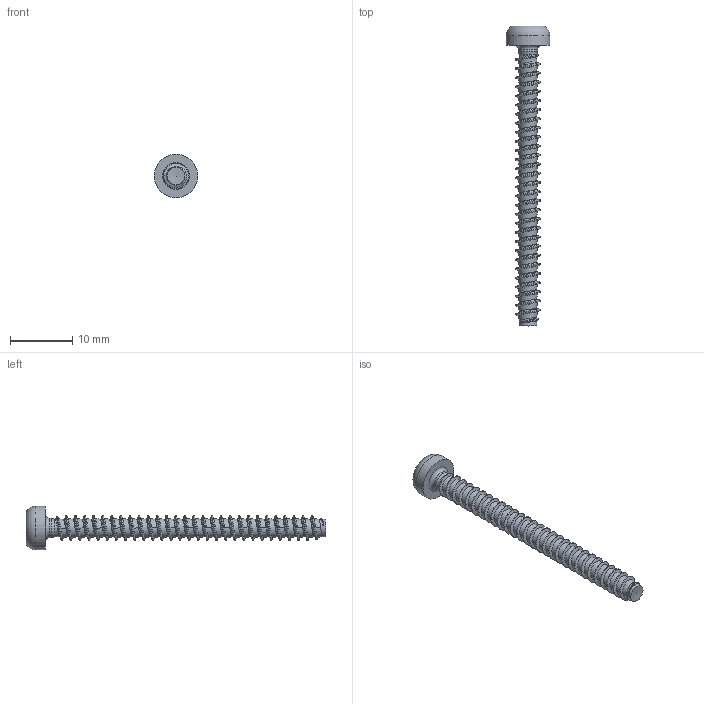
import cadquery as cq
import math


total_length = 48.09

head_height = 3.1
head_radius = 3.5
head_rim_height = 1.6
head_top_radius = 2.56

shank_length = total_length - head_height
core_radius = 1.41
neck_radius = 1.55
neck_end = 0.97
neck_taper_length = 0.5
underhead_fillet = 0.6
tip_dish_depth = 0.1

thread_pitch = 1.46
thread_radius = 2.0
thread_start = 0.8
thread_start_angle = 180
full_stages = 14
turns_per_full_stage = 2
fade_turns = 1

root_overlap = 0.15
valley_overlap = 0.008
faded_ridge_overlap = 0.03
faded_slope_overlap = 0.1

crest_half_width = 0.05
head_side_foot = (-0.17, 1.5)
tip_side_foot = (0.2, 1.54)
head_side_valley = -0.36
valley_gap = 0.02
tip_side_valley = head_side_valley + thread_pitch - valley_gap
valley_radius = core_radius - valley_overlap
buried_radius = core_radius - root_overlap
thread_section = [
    (head_side_valley, buried_radius),
    (head_side_valley, valley_radius),
    head_side_foot,
    (-crest_half_width, thread_radius),
    (crest_half_width, thread_radius),
    tip_side_foot,
    (tip_side_valley, valley_radius),
    (tip_side_valley, buried_radius),
]


def make_body():
    """Head, underhead fillet, neck and core, revolved about the Y axis."""
    crown_height = head_height - head_rim_height
    crown_inset = head_radius - head_top_radius
    crown_radius = (crown_height**2 + crown_inset**2) / (2 * crown_inset)
    half_sweep = math.asin(crown_height / crown_radius) / 2
    crown_middle = (
        head_radius - crown_radius * (1 - math.cos(half_sweep)),
        head_rim_height + crown_radius * math.sin(half_sweep),
    )
    fillet_reach = underhead_fillet * (1 - math.sqrt(0.5))
    fillet_middle = (neck_radius + fillet_reach, -fillet_reach)

    outline = (
        cq.Workplane("XY")
        .moveTo(0, head_height)
        .lineTo(head_top_radius, head_height)
        .threePointArc(crown_middle, (head_radius, head_rim_height))
        .lineTo(head_radius, 0)
        .lineTo(neck_radius + underhead_fillet, 0)
        .threePointArc(fillet_middle, (neck_radius, -underhead_fillet))
        .lineTo(neck_radius, -neck_end)
        .lineTo(core_radius, -neck_end - neck_taper_length)
        .lineTo(core_radius, -shank_length)
        .lineTo(0, -shank_length)
        .close()
    )
    return outline.revolve(360, (0, 0, 0), (0, 1, 0))


def faded(section):
    """Thread section sunk below the core surface, its tip-side slope deepest."""
    sunk = []
    for offset, radius in section:
        on_tip_side_slope = offset > crest_half_width
        overlap = faded_slope_overlap if on_tip_side_slope else faded_ridge_overlap
        sunk.append((offset, min(radius, core_radius - overlap)))
    return sunk


def helix(start_radius, end_radius, start_height, turns):
    """Helix about Z whose radius changes evenly from start to end."""
    rise = turns * thread_pitch
    cone_angle = math.atan2(end_radius - start_radius, rise)
    base = cq.Vector(0, 0, start_height)
    if cone_angle == 0:
        return cq.Wire.makeHelix(thread_pitch, rise, start_radius, base)
    slant = 1 / math.cos(cone_angle)
    axis = cq.Vector(0, 0, 1)
    return cq.Wire.makeHelix(
        thread_pitch * slant, rise * slant, start_radius, base, axis, math.degrees(cone_angle)
    )


def thread_sides(start_section, end_section, start_height, turns):
    """Helical faces joining two thread sections of equal point count."""
    curves = []
    for (offset, start_radius), (_, end_radius) in zip(start_section, end_section):
        curves.append(helix(start_radius, end_radius, start_height + offset, turns))
    faces = []
    for curve, next_curve in zip(curves, curves[1:] + curves[:1]):
        faces.append(cq.Face.makeRuledSurface(curve, next_curve))
    return faces


def thread_cap(section, height):
    """Flat end face of the thread in the plane through the axis."""
    points = [cq.Vector(radius, 0, height + offset) for offset, radius in section]
    return cq.Face.makeFromWires(cq.Wire.makePolygon(points, close=True))


def make_thread():
    """Thread that rises over its first turn, runs full and fades over its last turn."""
    ends = faded(thread_section)
    stages = [(ends, thread_section, fade_turns)]
    for _ in range(full_stages):
        stages.append((thread_section, thread_section, turns_per_full_stage))
    stages.append((thread_section, ends, fade_turns))

    height = thread_start
    faces = [thread_cap(ends, height)]
    for start_section, end_section, turns in stages:
        faces += thread_sides(start_section, end_section, height, turns)
        height += turns * thread_pitch
    faces.append(thread_cap(ends, height))
    solid = cq.Solid.makeSolid(cq.Shell.makeShell(faces)).fix()
    thread = cq.Workplane(solid)

    envelope = cq.Workplane("XY").circle(head_radius).extrude(shank_length)
    thread = thread.intersect(envelope)

    thread = thread.rotate((0, 0, 0), (0, 0, 1), thread_start_angle)
    return thread.rotate((0, 0, 0), (1, 0, 0), 90)


def make_tip_dish():
    """Shallow cone sunk into the tip face."""
    return (
        cq.Workplane("XY")
        .moveTo(0, -shank_length)
        .lineTo(core_radius, -shank_length)
        .lineTo(0, -shank_length + tip_dish_depth)
        .close()
        .revolve(360, (0, 0, 0), (0, 1, 0))
    )


result = make_body().union(make_thread()).cut(make_tip_dish()).solids()